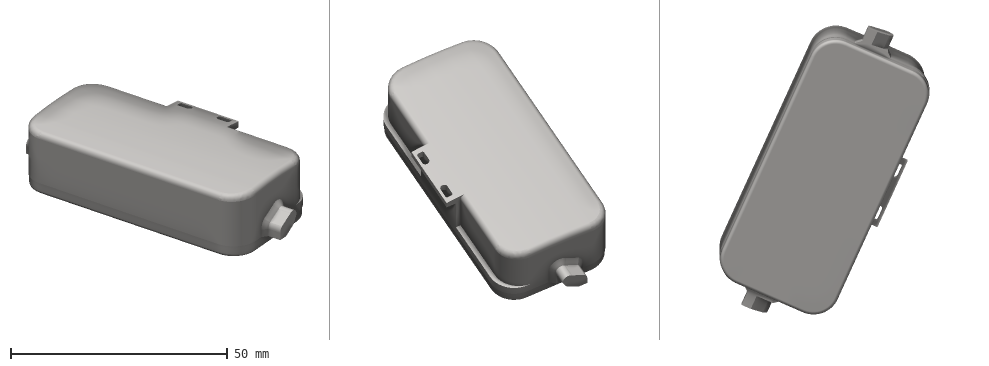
import cadquery as cq
import math

body_length = 62.9
body_width = 29.5
corner_radius = 6.3

skirt_height = 3.0
skirt_inset = 0.2
skirt_bottom_fillet = 0.8

lid_apex_height = 16.95
lid_radius = 115.0
lid_edge_fillet = 1.5

step_height = 5.2
step_depth = 1.2

tab_width = 17.1
tab_reach = 17.2
tab_underside_height = 14.05
tab_overlap = 3.0

slot_inner_x = 3.6
slot_outer_x = 7.25
slot_width = 1.75
slot_center_y = 15.68
slot_corner_radius = 0.4

peg_span = 71.8
peg_rear_radius = 1.5
peg_rear_center = (0.0, 7.1)
peg_front_radius = 1.9
peg_front_center = (-3.07, 4.95)
root_flare = 1.3
root_length = 1.1

relief_top = 6.84
relief_corner = (0.44, 4.89)
relief_bottom_y = -2.64


def rounded_block(length, width, radius, bottom, top):
    """Block centred on X and Y with rounded vertical edges."""
    block = cq.Workplane("XY").workplane(offset=bottom).rect(length, width).extrude(top - bottom)
    return block.edges("|Z").fillet(radius)


def lid_cylinder():
    """Cylinder along X whose top is the domed lid surface."""
    return (
        cq.Workplane("YZ")
        .center(0, lid_apex_height - lid_radius)
        .circle(lid_radius)
        .extrude(body_length, both=True)
    )


def make_skirt():
    skirt = rounded_block(
        body_length - 2 * skirt_inset,
        body_width - 2 * skirt_inset,
        corner_radius - skirt_inset,
        0,
        skirt_height,
    )
    return skirt.faces("<Z").edges().fillet(skirt_bottom_fillet)


def make_base():
    """Full-width band between the skirt and the rear step."""
    return rounded_block(body_length, body_width, corner_radius, skirt_height, step_height)


def make_upper_body():
    """Domed part above the step, set back from the rear wall."""
    upper_width = body_width - step_depth
    upper = rounded_block(body_length, upper_width, corner_radius, step_height, lid_apex_height)
    upper = upper.translate((0, -step_depth / 2, 0)).intersect(lid_cylinder())
    return upper.faces(">Z").edges().fillet(lid_edge_fillet)


def make_slot():
    """Cutter for the slot on the +X side of the tab."""
    half_width = slot_width / 2
    round_center_x = slot_inner_x + half_width
    slot = (
        cq.Workplane("XY")
        .moveTo(round_center_x, slot_center_y - half_width)
        .lineTo(slot_outer_x, slot_center_y - half_width)
        .lineTo(slot_outer_x, slot_center_y + half_width)
        .lineTo(round_center_x, slot_center_y + half_width)
        .threePointArc((slot_inner_x, slot_center_y), (round_center_x, slot_center_y - half_width))
        .close()
        .extrude(lid_apex_height)
    )
    return slot.edges("|Z and >X").fillet(slot_corner_radius)


def make_tab():
    """Column in the rear step and the overhanging tab, topped by the lid dome."""
    rear_y = body_width / 2
    column_front_y = rear_y - step_depth - tab_overlap
    tab = (
        cq.Workplane("YZ")
        .moveTo(column_front_y, step_height)
        .lineTo(rear_y, step_height)
        .lineTo(rear_y, tab_underside_height)
        .lineTo(tab_reach, tab_underside_height)
        .lineTo(tab_reach, lid_apex_height)
        .lineTo(column_front_y, lid_apex_height)
        .close()
        .extrude(tab_width / 2, both=True)
        .intersect(lid_cylinder())
    )
    slot = make_slot()
    return tab.cut(slot).cut(slot.mirror("YZ"))


def peg_outline(start_x, growth):
    """Peg profile at start_x, offset outwards by growth, open down to the skirt."""
    rear_y, rear_z = peg_rear_center
    front_y, front_z = peg_front_center
    rear_radius = peg_rear_radius + growth
    front_radius = peg_front_radius + growth

    center_distance = math.hypot(rear_y - front_y, rear_z - front_z)
    center_angle = math.atan2(rear_z - front_z, rear_y - front_y)
    tangent_angle = center_angle + math.acos((rear_radius - front_radius) / center_distance)

    front_mid_angle = (tangent_angle + math.pi) / 2

    def on_arc(center, radius, angle):
        return (center[0] + radius * math.cos(angle), center[1] + radius * math.sin(angle))

    return (
        cq.Workplane("YZ", origin=(start_x, 0, 0))
        .moveTo(rear_y + rear_radius, skirt_height)
        .lineTo(rear_y + rear_radius, rear_z)
        .threePointArc(
            on_arc(peg_rear_center, rear_radius, tangent_angle / 2),
            on_arc(peg_rear_center, rear_radius, tangent_angle),
        )
        .lineTo(*on_arc(peg_front_center, front_radius, tangent_angle))
        .threePointArc(
            on_arc(peg_front_center, front_radius, front_mid_angle),
            (front_y - front_radius, front_z),
        )
        .lineTo(front_y - front_radius, skirt_height)
        .close()
    )


def make_peg():
    """Peg on the +X end: tapered root and a bar relieved underneath."""
    wall_x = body_length / 2
    root_end_x = wall_x + root_length
    bar_length = peg_span / 2 - root_end_x

    root_base = peg_outline(wall_x, root_flare).wires().val()
    root_tip = peg_outline(root_end_x, 0).wires().val()
    root = cq.Workplane(obj=cq.Solid.makeLoft([root_base, root_tip], True))

    bar = peg_outline(root_end_x, 0).extrude(bar_length)
    rear_side_y = peg_rear_center[0] + peg_rear_radius
    relief = (
        cq.Workplane("YZ", origin=(root_end_x, 0, 0))
        .moveTo(rear_side_y, skirt_height)
        .lineTo(rear_side_y, relief_top)
        .lineTo(*relief_corner)
        .lineTo(relief_bottom_y, skirt_height)
        .close()
        .extrude(bar_length)
    )
    return root.union(bar.cut(relief))


peg = make_peg()
result = make_skirt().union(make_base()).union(make_upper_body()).union(make_tab())
result = result.union(peg).union(peg.mirror("YZ"))